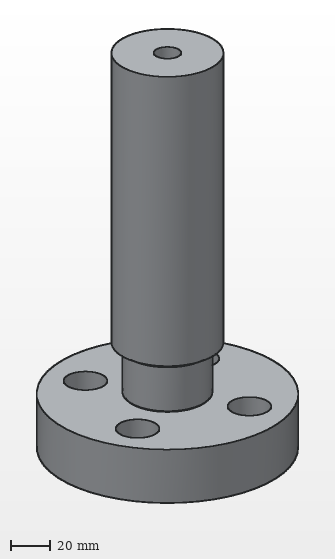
import cadquery as cq

total_height = 228.6
bore_diameter = 14.0

face_diameter = 65.0
face_height = 6.35

flange_diameter = 133.35
flange_thickness = 30.2
bolt_circle_diameter = 88.9
bolt_hole_diameter = 22.2
bolt_hole_count = 4

neck_diameter = 46.0
neck_height = 25.6
neck_chamfer = 1.0

barrel_diameter = 57.15
shoulder_height = 3.4

flange_bottom = face_height
flange_top = flange_bottom + flange_thickness
neck_top = flange_top + neck_height
shoulder_top = neck_top + shoulder_height


def make_body():
    """Revolve the stepped half profile, including the bore, about the Z axis."""
    bore_radius = bore_diameter / 2
    face_radius = face_diameter / 2
    flange_radius = flange_diameter / 2
    neck_radius = neck_diameter / 2
    barrel_radius = barrel_diameter / 2
    profile = [
        (bore_radius, 0),
        (face_radius, 0),
        (face_radius, flange_bottom),
        (flange_radius, flange_bottom),
        (flange_radius, flange_top),
        (neck_radius - neck_chamfer, flange_top),
        (neck_radius, flange_top + neck_chamfer),
        (neck_radius, neck_top),
        (barrel_radius, shoulder_top),
        (barrel_radius, total_height),
        (bore_radius, total_height),
    ]
    return cq.Workplane("XZ").polyline(profile).close().revolve(360, (0, 0, 0), (0, 1, 0))


def make_bolt_holes():
    """Cylinders through the flange, evenly spaced on the bolt circle from +X."""
    return (
        cq.Workplane("XY")
        .workplane(offset=flange_bottom)
        .polarArray(bolt_circle_diameter / 2, 0, 360, bolt_hole_count)
        .circle(bolt_hole_diameter / 2)
        .extrude(flange_thickness)
    )


result = make_body().cut(make_bolt_holes())